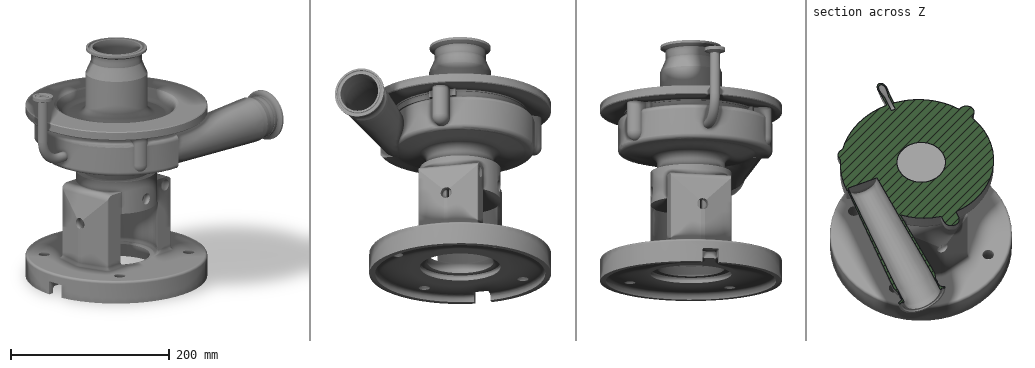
import cadquery as cq
import math

FLANGE_DIAMETER = 230.0
FLANGE_R = FLANGE_DIAMETER / 2
BASE_HEIGHT = 29.3
BASE_EDGE_FILLET = 3.0
BASE_BORE_R = 42.2
BORE_CHAMFER_R = 47.0
BORE_CHAMFER_HEIGHT = 1.5
BORE_RECESS_R = 51.0
BORE_RECESS_DEPTH = 15.7
SPIGOT_R = 107.5
SPIGOT_DEPTH = 9.0
SPIGOT_FILLET = 3.5
BOLT_CIRCLE_R = 91.3
BOLT_HOLE_R = 7.0
NOTCH_WIDTH = 21.0
NOTCH_HEIGHT = 17.5
NOTCH_DEPTH = 18.7
NOTCH_FILLET = 1.7

COLLAR_R = 51.0
COLLAR_BOTTOM = 98.0
COLLAR_TOP = 140.5
COLLAR_HOLE_Z = 112.8
COLLAR_HOLE_DEPTH = 10.2
CROSS_HOLE_R = 7.0
HUB_R = 43.0
HUB_FILLET = 9.0

PILLAR_HALF_WIDTH = 39.2
PILLAR_INNER_R = 52.5
PILLAR_SHOULDER_Y = 59.0
PILLAR_RIDGE_Y = 69.0
PILLAR_RIDGE_HALF_WIDTH = 2.5
PILLAR_TOP = 127.5
PILLAR_SLOPE_BOTTOM = 88.5
PILLAR_SLOPE_TOP_Y = 57.5
PILLAR_TOP_FILLET = 10.0
PILLAR_CORNER_FILLET = 2.0
PILLAR_FOOT_FILLET = 4.0
PILLAR_POCKET_Z = 85.2
PILLAR_POCKET_Y = 59.5
PILLAR_SLIT_WIDTH = 3.5
PILLAR_HOLE_Y = 48.5
PILLAR_HOLE_Z = 117.0

CASING_GROWTH_PER_TURN = 21.0
CASING_STEP = CASING_GROWTH_PER_TURN / 4
CASING_FIRST_R = 85.2
CASING_BOTTOM = 164.0
CASING_TOP = 208.0
CASING_TOP_FILLET = 6.0
CASING_BOTTOM_FILLET = 5.5
CASING_UNDERSIDE_R = 81.8
CASING_UNDERSIDE_Z = 159.5
CASING_NECK_R = 83.5

PLATE_BOTTOM = 216.7
PLATE_TOP = 228.0
PLATE_EDGE = 1.0
NECK_RING_R = 84.5
NECK_RING_HEIGHT = 1.7
DISH_RIM_R = 78.7
DISH_WALL_TOP_R = 75.5
DISH_WALL_TOP_Z = 226.5
DISH_WALL_BOTTOM_R = 69.0
DISH_WALL_BOTTOM_Z = 218.5
DISH_WALL_FILLET = 10.2
DISH_FLOOR_OUTER_R = 62.5
DISH_FLOOR_Z = 215.0
DISH_FLOOR_INNER_R = 49.0
DISH_CROWN_Z = 216.5
DISH_CROWN_FILLET = 11.0

POST_R = 10.2
POST_CIRCLE_R = 95.7
POST_BOTTOM = 167.5
POST_ANGLES = (90, 210, 330)
LUG_WIDTH = 34.0
LUG_OUTER_R = 87.0

INLET_R = 39.2
INLET_CONE_BOTTOM = 270.0
INLET_CONE_TOP = 286.0
INLET_TOP = 303.5
INLET_NECK_R = 32.5
INLET_LIP_R = 38.5
INLET_LIP = 3.0
INLET_LIP_CONE = 3.5
INLET_BORE_R = 30.3

OUTLET_X = 80.7
OUTLET_Z = 185.5
OUTLET_END = 189.8
OUTLET_ROOT_R = 21.8
OUTLET_WIDE_R = 28.5
OUTLET_WIDE_Y = 156.5
OUTLET_SHOULDER_Y = 164.0
OUTLET_NECK_Y = 171.7
OUTLET_NECK_R = 26.5
OUTLET_LIP_R = 32.0
OUTLET_LIP = 2.7
OUTLET_LIP_CONE = 3.0
OUTLET_GROOVE_TOP = 179.5
OUTLET_GROOVE_BOTTOM = 177.0
OUTLET_GROOVE_DEPTH = 0.5
OUTLET_WALL = 2.0

DRAIN_R = 6.0
DRAIN_BORE_R = 4.0
DRAIN_Z = 182.3
DRAIN_Y = -138.0
DRAIN_START_Y = -88.5
DRAIN_BEND_R = 29.0
DRAIN_TOP = 271.5
DRAIN_LIP_R = 13.0
DRAIN_LIP = 4.0
DRAIN_LIP_CONE = 2.7

GASKET_GROOVE_R = 1.5

SELECT_MARGIN = 0.5
FOOT_REACH_X = PILLAR_HALF_WIDTH + SELECT_MARGIN
FOOT_REACH_Y = PILLAR_RIDGE_Y + SELECT_MARGIN


def cylinder(radius, bottom, top, x=0, y=0):
    """Upright cylinder between two heights."""
    return cq.Workplane("XY", origin=(x, y, bottom)).circle(radius).extrude(top - bottom)


def turned(profile):
    """Solid of revolution about Z from a workplane profile drawn as (radius, z)."""
    return profile.close().revolve(360, (0, 0, 0), (0, 1, 0))


def gasket_groove(lip_radius, bore_radius, top):
    """Ring with a round section, for the gasket groove in a ferrule face."""
    middle = (lip_radius + bore_radius) / 2
    return (
        cq.Workplane("XZ")
        .center(middle, top)
        .circle(GASKET_GROOVE_R)
        .revolve(360, (-middle, 0, 0), (-middle, 1, 0))
    )


def polar(radius, angle):
    """Point at an angle in degrees on a circle about the origin."""
    return (radius * math.cos(math.radians(angle)), radius * math.sin(math.radians(angle)))


def central_bore():
    """Bore through the base, chamfered above and widened by a recess below."""
    return turned(
        cq.Workplane("XZ")
        .lineTo(BORE_RECESS_R, 0)
        .lineTo(BORE_RECESS_R, BORE_RECESS_DEPTH)
        .lineTo(BASE_BORE_R, BORE_RECESS_DEPTH)
        .lineTo(BASE_BORE_R, BASE_HEIGHT - BORE_CHAMFER_HEIGHT)
        .lineTo(BORE_CHAMFER_R, BASE_HEIGHT)
        .lineTo(0, BASE_HEIGHT)
    )


def base_flange():
    base = cylinder(FLANGE_R, 0, BASE_HEIGHT).faces(">Z").edges().fillet(BASE_EDGE_FILLET)
    spigot = cylinder(SPIGOT_R, 0, SPIGOT_DEPTH).faces(">Z").edges().fillet(SPIGOT_FILLET)
    notch = (
        cq.Workplane("XY", origin=(0, -FLANGE_R, 0))
        .box(NOTCH_WIDTH, 2 * NOTCH_DEPTH, NOTCH_HEIGHT, centered=(True, True, False))
        .faces(">Z").edges("|Y")
        .fillet(NOTCH_FILLET)
    )
    bolt_holes = (
        cq.Workplane("XY")
        .polarArray(BOLT_CIRCLE_R, 45, 360, 4)
        .circle(BOLT_HOLE_R)
        .extrude(BASE_HEIGHT)
    )
    return base.cut(spigot).cut(notch).cut(bolt_holes)


def pillar():
    """Pillar on the +Y side: a wedge plan trimmed by a sloping side profile."""
    shoulder_zone = cq.selectors.BoxSelector(
        (-FLANGE_R, PILLAR_SHOULDER_Y - SELECT_MARGIN, 0),
        (FLANGE_R, PILLAR_SHOULDER_Y + SELECT_MARGIN, PILLAR_TOP))
    plan = (
        cq.Workplane("XY", origin=(0, 0, BORE_RECESS_DEPTH))
        .moveTo(-PILLAR_HALF_WIDTH, 0)
        .lineTo(-PILLAR_HALF_WIDTH, PILLAR_SHOULDER_Y)
        .lineTo(-PILLAR_RIDGE_HALF_WIDTH, PILLAR_RIDGE_Y)
        .lineTo(PILLAR_RIDGE_HALF_WIDTH, PILLAR_RIDGE_Y)
        .lineTo(PILLAR_HALF_WIDTH, PILLAR_SHOULDER_Y)
        .lineTo(PILLAR_HALF_WIDTH, 0)
        .close()
        .extrude(PILLAR_TOP - BORE_RECESS_DEPTH)
        .edges(shoulder_zone)
        .edges("|Z")
        .fillet(PILLAR_CORNER_FILLET)
    )
    side = (
        cq.Workplane("YZ")
        .moveTo(0, 0)
        .lineTo(PILLAR_RIDGE_Y, 0)
        .lineTo(PILLAR_RIDGE_Y, PILLAR_SLOPE_BOTTOM)
        .lineTo(PILLAR_SLOPE_TOP_Y, PILLAR_TOP)
        .lineTo(0, PILLAR_TOP)
        .close()
        .extrude(PILLAR_HALF_WIDTH, both=True)
        .faces(">Z").edges(">Y")
        .fillet(PILLAR_TOP_FILLET)
    )
    pocket = (
        cq.Workplane("XZ", origin=(0, PILLAR_RIDGE_Y, PILLAR_POCKET_Z))
        .circle(CROSS_HOLE_R)
        .extrude(PILLAR_RIDGE_Y - PILLAR_POCKET_Y)
    )
    slit = cq.Workplane("XY", origin=(0, 0, PILLAR_POCKET_Z)).box(
        PILLAR_SLIT_WIDTH, 2 * PILLAR_RIDGE_Y, 2 * CROSS_HOLE_R)
    inner_clearance = cylinder(PILLAR_INNER_R, 0, COLLAR_BOTTOM)
    return plan.intersect(side).cut(pocket).cut(slit).cut(inner_clearance)


def bracket():
    """Base flange with both pillars, their foot fillets and the central bore."""
    rear = pillar()
    front = rear.rotate((0, 0, 0), (0, 0, 1), 180)
    body = base_flange().union(rear).union(front)
    foot_zone = cq.selectors.BoxSelector(
        (-FOOT_REACH_X, -FOOT_REACH_Y, BASE_HEIGHT - SELECT_MARGIN),
        (FOOT_REACH_X, FOOT_REACH_Y, BASE_HEIGHT + SELECT_MARGIN), boundingbox=True)
    foot_edges = body.edges(foot_zone)
    return foot_edges.fillet(PILLAR_FOOT_FILLET).cut(central_bore())


def pillar_side_hole():
    """Hole along X through the +Y pillar, grazing the collar behind it."""
    return (
        cq.Workplane("YZ", origin=(0, PILLAR_HOLE_Y, PILLAR_HOLE_Z))
        .circle(CROSS_HOLE_R)
        .extrude(PILLAR_HALF_WIDTH, both=True)
    )


def collar_and_hub():
    collar = cylinder(COLLAR_R, COLLAR_BOTTOM, COLLAR_TOP)
    for side in (-1, 1):
        hole = (
            cq.Workplane("YZ", origin=(side * COLLAR_R, 0, COLLAR_HOLE_Z))
            .circle(CROSS_HOLE_R)
            .extrude(-side * COLLAR_HOLE_DEPTH)
        )
        collar = collar.cut(hole)
    hub = turned(
        cq.Workplane("XZ")
        .moveTo(0, COLLAR_TOP)
        .lineTo(HUB_R, COLLAR_TOP)
        .lineTo(HUB_R, CASING_UNDERSIDE_Z - HUB_FILLET)
        .radiusArc((HUB_R + HUB_FILLET, CASING_UNDERSIDE_Z), HUB_FILLET)
        .lineTo(CASING_UNDERSIDE_R, CASING_BOTTOM)
        .lineTo(0, CASING_BOTTOM)
    )
    return collar.union(hub)


def casing():
    """Spiral body with neck: each quarter arc is one step larger, about a centre moved by that step."""
    center = (-CASING_STEP / 2, CASING_STEP / 2)
    radius = CASING_FIRST_R
    outline = cq.Workplane("XY", origin=(0, 0, CASING_BOTTOM)).moveTo(center[0] + radius, center[1])
    for start in (0, 90, 180, 270):
        middle = polar(radius, start + 45)
        end = polar(radius, start + 90)
        outline = outline.threePointArc(
            (center[0] + middle[0], center[1] + middle[1]),
            (center[0] + end[0], center[1] + end[1]),
        )
        shift = polar(CASING_STEP, start + 90)
        center = (center[0] - shift[0], center[1] - shift[1])
        radius += CASING_STEP
    body = outline.close().extrude(CASING_TOP - CASING_BOTTOM)
    body = body.faces(">Z").edges("%CIRCLE").fillet(CASING_TOP_FILLET)
    body = body.faces("<Z").edges("%CIRCLE").fillet(CASING_BOTTOM_FILLET)
    neck = cylinder(CASING_NECK_R, CASING_TOP, PLATE_BOTTOM)
    neck_ring = cylinder(NECK_RING_R, PLATE_BOTTOM - NECK_RING_HEIGHT, PLATE_BOTTOM)
    return body.union(neck).union(neck_ring)


def plate_and_inlet():
    plate = cylinder(FLANGE_R, PLATE_BOTTOM, PLATE_TOP).edges().chamfer(PLATE_EDGE)
    dish = turned(
        cq.Workplane("XZ")
        .moveTo(INLET_R, PLATE_TOP)
        .radiusArc((DISH_FLOOR_INNER_R, DISH_CROWN_Z), -DISH_CROWN_FILLET)
        .lineTo(DISH_FLOOR_OUTER_R, DISH_FLOOR_Z)
        .radiusArc((DISH_WALL_BOTTOM_R, DISH_WALL_BOTTOM_Z), -DISH_WALL_FILLET)
        .lineTo(DISH_WALL_TOP_R, DISH_WALL_TOP_Z)
        .lineTo(DISH_RIM_R, PLATE_TOP)
    )
    inlet = turned(
        cq.Workplane("XZ")
        .moveTo(0, PLATE_BOTTOM)
        .lineTo(INLET_R, PLATE_BOTTOM)
        .lineTo(INLET_R, INLET_CONE_BOTTOM)
        .lineTo(INLET_NECK_R, INLET_CONE_TOP)
        .lineTo(INLET_NECK_R, INLET_TOP - INLET_LIP - INLET_LIP_CONE)
        .lineTo(INLET_LIP_R, INLET_TOP - INLET_LIP)
        .lineTo(INLET_LIP_R, INLET_TOP)
        .lineTo(0, INLET_TOP)
    )
    return plate.union(inlet), dish


def post():
    """Post on the +X side with a domed foot and an arm reaching into the casing, and its neck lug."""
    foot_axis_z = POST_BOTTOM + POST_R
    dome = cq.Workplane("XY", origin=(POST_CIRCLE_R, 0, foot_axis_z)).sphere(POST_R)
    column = cylinder(POST_R, foot_axis_z, PLATE_BOTTOM, x=POST_CIRCLE_R)
    arm = (
        cq.Workplane("YZ")
        .moveTo(-POST_R, PLATE_BOTTOM)
        .lineTo(-POST_R, foot_axis_z)
        .threePointArc((0, POST_BOTTOM), (POST_R, foot_axis_z))
        .lineTo(POST_R, PLATE_BOTTOM)
        .close()
        .extrude(POST_CIRCLE_R)
    )
    lug = cq.Workplane("XY", origin=(0, 0, CASING_TOP)).box(
        LUG_OUTER_R, LUG_WIDTH, PLATE_BOTTOM - CASING_TOP, centered=(False, True, False))
    return arm.union(column).union(dome).union(lug)


def place_outlet(upright):
    """Lay a part built along +Z down along +Y, on the outlet axis."""
    return upright.rotate((0, 0, 0), (1, 0, 0), -90).translate((OUTLET_X, 0, OUTLET_Z))


def outlet():
    wall = turned(
        cq.Workplane("XZ")
        .lineTo(OUTLET_ROOT_R, 0)
        .lineTo(OUTLET_WIDE_R, OUTLET_WIDE_Y)
        .lineTo(OUTLET_WIDE_R, OUTLET_SHOULDER_Y)
        .lineTo(OUTLET_NECK_R, OUTLET_NECK_Y)
        .lineTo(OUTLET_NECK_R, OUTLET_GROOVE_BOTTOM)
        .lineTo(OUTLET_NECK_R - OUTLET_GROOVE_DEPTH, OUTLET_GROOVE_BOTTOM)
        .lineTo(OUTLET_NECK_R - OUTLET_GROOVE_DEPTH, OUTLET_GROOVE_TOP)
        .lineTo(OUTLET_NECK_R, OUTLET_GROOVE_TOP)
        .lineTo(OUTLET_NECK_R, OUTLET_END - OUTLET_LIP - OUTLET_LIP_CONE)
        .lineTo(OUTLET_LIP_R, OUTLET_END - OUTLET_LIP)
        .lineTo(OUTLET_LIP_R, OUTLET_END)
        .lineTo(0, OUTLET_END)
    )
    mouth_r = OUTLET_NECK_R - OUTLET_WALL
    bore = turned(
        cq.Workplane("XZ")
        .lineTo(OUTLET_ROOT_R - OUTLET_WALL, 0)
        .lineTo(mouth_r, OUTLET_WIDE_Y)
        .lineTo(mouth_r, OUTLET_END)
        .lineTo(0, OUTLET_END)
    ).union(gasket_groove(OUTLET_LIP_R, mouth_r, OUTLET_END))
    return place_outlet(wall), place_outlet(bore)


def drain_run(radius):
    """Round bar along the drain centre line, from inside the casing up to the drain top."""
    path = (
        cq.Workplane("YZ")
        .moveTo(DRAIN_START_Y, DRAIN_Z)
        .lineTo(DRAIN_Y + DRAIN_BEND_R, DRAIN_Z)
        .radiusArc((DRAIN_Y, DRAIN_Z + DRAIN_BEND_R), DRAIN_BEND_R)
        .lineTo(DRAIN_Y, DRAIN_TOP)
    )
    return cq.Workplane("XZ", origin=(0, DRAIN_START_Y, DRAIN_Z)).circle(radius).sweep(path)


def drain():
    lip_bottom = DRAIN_TOP - DRAIN_LIP
    ferrule = turned(
        cq.Workplane("XZ")
        .moveTo(0, lip_bottom - DRAIN_LIP_CONE)
        .lineTo(DRAIN_R, lip_bottom - DRAIN_LIP_CONE)
        .lineTo(DRAIN_LIP_R, lip_bottom)
        .lineTo(DRAIN_LIP_R, DRAIN_TOP)
        .lineTo(0, DRAIN_TOP)
    ).cut(gasket_groove(DRAIN_LIP_R, DRAIN_BORE_R, DRAIN_TOP))
    pipe = drain_run(DRAIN_R).union(ferrule.translate((0, DRAIN_Y, 0)))
    return pipe, drain_run(DRAIN_BORE_R)


plate, dish = plate_and_inlet()
outlet_wall, outlet_bore = outlet()
drain_pipe, drain_bore = drain()
inlet_bore = cylinder(INLET_BORE_R, OUTLET_Z, INLET_TOP).union(
    gasket_groove(INLET_LIP_R, INLET_BORE_R, INLET_TOP))

result = bracket().union(collar_and_hub()).cut(pillar_side_hole()).union(casing())
for angle in POST_ANGLES:
    result = result.union(post().rotate((0, 0, 0), (0, 0, 1), angle))
result = result.union(plate).union(outlet_wall).union(drain_pipe)
result = result.cut(dish).cut(inlet_bore).cut(outlet_bore).cut(drain_bore)